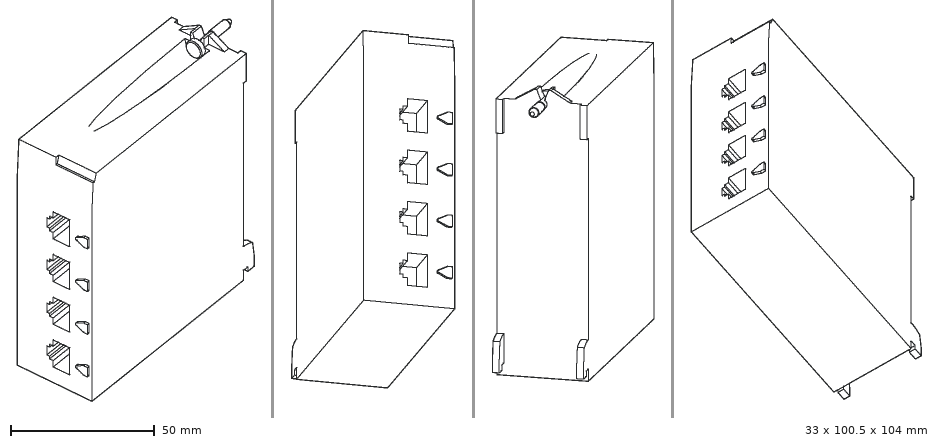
import cadquery as cq
import math


WIDTH = 33.0
HEIGHT = 100.0
BACK_Y = 86.0
COVER_DEPTH = 15.0
SLOPE_START_Z = 84.3
SLOPE_SETBACK = 0.9
HALF_WIDTH = WIDTH / 2

RELIEF_HEIGHT = 3.2
RELIEF_DEPTH_TOP = 2.5
RELIEF_DEPTH_BOTTOM = 1.5

PORT_COUNT = 4
FIRST_PORT_Z = 13.0
PORT_PITCH = 19.0
FRAME_LEFT, FRAME_RIGHT = -5.9, 8.9
FRAME_HEIGHT = 18.2
FRAME_CORNER_RADIUS = 0.6
FRAME_THICKNESS = 1.0
SOCKET_DEPTH = 14.0
SOCKET_RIGHT = 6.6
SOCKET_STEPS = [(-0.6, 12.0), (-2.2, 6.4), (-3.4, 4.0)]
LAMP_LEFT, LAMP_RIGHT = 10.0, 15.3
LAMP_SHOULDER_X = 13.6
LAMP_HEIGHT = 4.2
LAMP_TIP_HEIGHT = 1.2
LAMP_PROTRUSION = 1.0

TAB_WIDTH = 2.5
TAB_LENGTH = 1.6
TAB_HEIGHT = 12.3
HOOK_LENGTH = 6.1
HOOK_SHOULDER_LENGTH = 5.2
HOOK_SHOULDER_Z = 13.5
HOOK_CREST_LENGTH = 2.4
HOOK_CREST_Z = 14.7
HOOK_TIP_Z = 7.2
HOOK_TOP_Z = 15.0
HOOK_BOTTOM_Z = 2.4
HOOK_NOTCH_LENGTH = 2.4
HOOK_NOTCH_TOP_Z = 4.4

GROOVE_BACK_Y = 81.0
GROOVE_LENGTH = 62.5
GROOVE_RADIUS = 5.45
GROOVE_TILT = math.degrees(math.asin(GROOVE_RADIUS / GROOVE_LENGTH))

SCREW_Z = 98.9
SCREW_END_Y = 99.5
SCREW_TIP_LENGTH = 2.1
SCREW_TIP_RADIUS = 0.75
SCREW_TIP_BASE_RADIUS = 1.6
SCREW_THREAD_RADIUS = 1.8
SCREW_THREAD_LENGTH = 8.0
SCREW_NECK_RADIUS = 1.6
SCREW_HEAD_RADIUS = 3.5
SCREW_HEAD_LENGTH = 2.3
SCREW_HEAD_CHAMFER = 0.4

EAR_TOP_Z = 104.0
EAR_OUTER_X = 10.0
WING_PEAK_X = 3.1
BLOCK_SIDE_X = 3.0
WING_THICKNESS = 2.5
SLOT_TOP_X = 2.1
SLOT_BOTTOM_X = 0.55
SLOT_BOTTOM_Z = 100.0


def box(x_range, y_range, z_range):
    """Box between the given (low, high) limits on each axis."""
    size = [high - low for low, high in (x_range, y_range, z_range)]
    corner = (x_range[0], y_range[0], z_range[0])
    return cq.Workplane("XY").box(*size, centered=False).translate(corner)


def side_profile(points, x_low, x_high):
    """Prism with a (Y, Z) outline, spanning x_low to x_high."""
    return cq.Workplane("YZ").workplane(offset=x_low).polyline(points).close().extrude(x_high - x_low)


def front_profile(y_front, y_back):
    """Workplane for an (X, Z) outline at y_front, with the distance to extrude it to y_back."""
    return cq.Workplane("XZ", origin=(0, y_front, 0)), y_front - y_back


def make_cover():
    outline = [
        (0, 0),
        (COVER_DEPTH, 0),
        (COVER_DEPTH, HEIGHT),
        (SLOPE_SETBACK, HEIGHT),
        (0, SLOPE_START_Z),
    ]
    relief_z = HEIGHT - RELIEF_HEIGHT
    relief = [
        (0, relief_z),
        (RELIEF_DEPTH_BOTTOM, relief_z),
        (RELIEF_DEPTH_TOP, HEIGHT),
        (0, HEIGHT),
    ]
    cover = side_profile(outline, -HALF_WIDTH, HALF_WIDTH)
    return cover.cut(side_profile(relief, 0, HALF_WIDTH))


def make_groove():
    """Tilted cylinder, rising toward the front and ending square at the groove's back end."""
    cylinder = (
        cq.Workplane("XZ")
        .circle(GROOVE_RADIUS)
        .extrude(2 * GROOVE_LENGTH, both=True)
        .rotate((0, 0, 0), (1, 0, 0), -GROOVE_TILT)
        .translate((0, GROOVE_BACK_Y, HEIGHT))
    )
    limit = box(
        (-HALF_WIDTH, HALF_WIDTH),
        (0, GROOVE_BACK_Y),
        (HEIGHT - 2 * GROOVE_RADIUS, HEIGHT + GROOVE_RADIUS),
    )
    return cylinder.intersect(limit)


def make_side_mounts(x_low):
    """Upper tab and lower hook along one side of the back."""
    x_high = x_low + TAB_WIDTH
    tab = box((x_low, x_high), (COVER_DEPTH, BACK_Y + TAB_LENGTH), (HEIGHT - TAB_HEIGHT, HEIGHT))
    hook = (
        cq.Workplane("YZ", origin=(x_low, BACK_Y, 0))
        .moveTo(0, HOOK_TOP_Z)
        .threePointArc((HOOK_CREST_LENGTH, HOOK_CREST_Z), (HOOK_SHOULDER_LENGTH, HOOK_SHOULDER_Z))
        .lineTo(HOOK_LENGTH, HOOK_TIP_Z)
        .lineTo(HOOK_LENGTH, HOOK_BOTTOM_Z)
        .lineTo(HOOK_NOTCH_LENGTH, HOOK_BOTTOM_Z)
        .lineTo(HOOK_NOTCH_LENGTH, HOOK_NOTCH_TOP_Z)
        .lineTo(0, HOOK_NOTCH_TOP_Z)
        .close()
        .extrude(TAB_WIDTH)
    )
    return tab.union(hook)


def make_bracket():
    wing_outline = [
        (EAR_OUTER_X, HEIGHT),
        (WING_PEAK_X, EAR_TOP_Z),
        (SLOT_TOP_X, EAR_TOP_Z),
        (SLOT_BOTTOM_X, SLOT_BOTTOM_Z),
    ]
    block_outline = [
        (BLOCK_SIDE_X, HEIGHT),
        (BLOCK_SIDE_X, EAR_TOP_Z),
        (SLOT_TOP_X, EAR_TOP_Z),
        (SLOT_BOTTOM_X, SLOT_BOTTOM_Z),
    ]
    plane, distance = front_profile(BACK_Y - WING_THICKNESS, BACK_Y)
    wing = plane.polyline(wing_outline).close().extrude(distance)
    plane, distance = front_profile(GROOVE_BACK_Y, BACK_Y)
    ear = wing.union(plane.polyline(block_outline).close().extrude(distance))
    return ear.union(ear.mirror("YZ"))


def make_screw():
    """Screw turned about an axis along Y, from its head in the groove to its tip behind the housing."""
    head_y = GROOVE_BACK_Y - SCREW_HEAD_LENGTH
    tip_base_y = SCREW_END_Y - SCREW_TIP_LENGTH
    thread_y = tip_base_y - SCREW_THREAD_LENGTH
    outline = [
        (0, head_y),
        (SCREW_HEAD_RADIUS - SCREW_HEAD_CHAMFER, head_y),
        (SCREW_HEAD_RADIUS, head_y + SCREW_HEAD_CHAMFER),
        (SCREW_HEAD_RADIUS, GROOVE_BACK_Y),
        (SCREW_NECK_RADIUS, GROOVE_BACK_Y),
        (SCREW_NECK_RADIUS, thread_y),
        (SCREW_THREAD_RADIUS, thread_y),
        (SCREW_THREAD_RADIUS, tip_base_y),
        (SCREW_TIP_BASE_RADIUS, tip_base_y),
        (SCREW_TIP_RADIUS, SCREW_END_Y),
        (0, SCREW_END_Y),
    ]
    screw = cq.Workplane("XY").polyline(outline).close().revolve(360, (0, 0), (0, 1))
    return screw.translate((0, 0, SCREW_Z))


def make_frame(z):
    """Frame plate of one port, centred on height z and flush with the front face."""
    plate = box(
        (FRAME_LEFT, FRAME_RIGHT),
        (0, FRAME_THICKNESS),
        (z - FRAME_HEIGHT / 2, z + FRAME_HEIGHT / 2),
    )
    return plate.edges("|Y").fillet(FRAME_CORNER_RADIUS)


def make_socket(z):
    """Stepped socket of one port, centred on height z."""
    socket = cq.Workplane()
    for left, height in SOCKET_STEPS:
        socket = socket.add(box((left, SOCKET_RIGHT), (0, SOCKET_DEPTH), (z - height / 2, z + height / 2)))
    return socket.combine()


def make_lamp(z):
    """Indicator lamp standing out of the front face, pointing at its port."""
    half_height = LAMP_HEIGHT / 2
    half_tip = LAMP_TIP_HEIGHT / 2
    plane, distance = front_profile(-LAMP_PROTRUSION, 0)
    return (
        plane.moveTo(LAMP_RIGHT, z - half_height)
        .lineTo(LAMP_RIGHT, z + half_height)
        .lineTo(LAMP_SHOULDER_X, z + half_height)
        .lineTo(LAMP_LEFT + half_tip, z + half_tip)
        .threePointArc((LAMP_LEFT, z), (LAMP_LEFT + half_tip, z - half_tip))
        .lineTo(LAMP_SHOULDER_X, z - half_height)
        .close()
        .extrude(distance)
    )


housing = box((-HALF_WIDTH, HALF_WIDTH), (COVER_DEPTH, BACK_Y), (0, HEIGHT))
for side_x in (-HALF_WIDTH, HALF_WIDTH - TAB_WIDTH):
    housing = housing.union(make_side_mounts(side_x))
housing = housing.cut(make_groove())
housing = housing.union(make_bracket()).union(make_screw())

cover = make_cover()
for port in range(PORT_COUNT):
    port_z = FIRST_PORT_Z + port * PORT_PITCH
    frame = make_frame(port_z)
    socket = make_socket(port_z)
    cover = cover.union(make_lamp(port_z), clean=False)
    cover = cover.cut(frame, clean=False).union(frame, clean=False)
    cover = cover.cut(socket, clean=False)

result = housing.union(cover, clean=False)